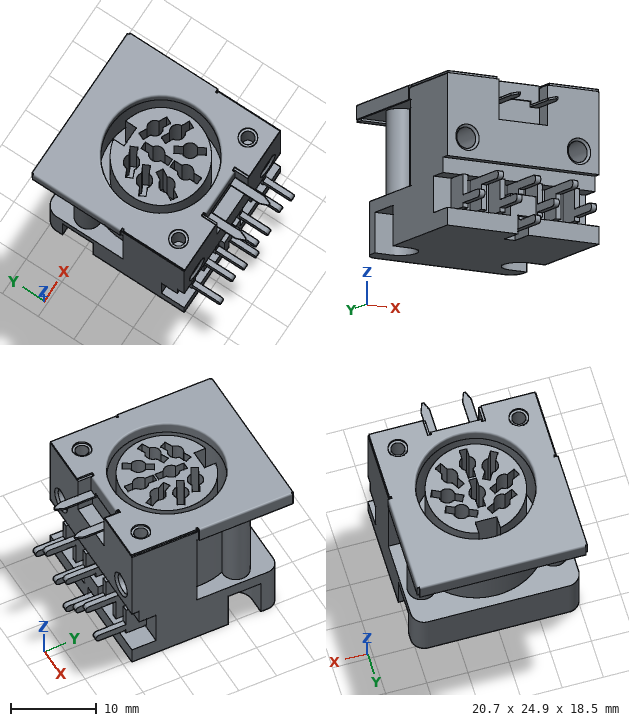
import cadquery as cq
import math


SHEET = 0.25
TOP_Z = 18.5
SHIELD_WIDTH = 20.7
SHIELD_BACK_Y = 21.4
FLANGE_FRONT_Y = 8.86
SIDE_FLANGE_BOTTOM_Z = 16.73
BACK_LIP_LENGTH = 1.07
RELIEF_SIZE = 0.22
TUBE_LENGTH = 1.4
PLATE_HOLE_RADIUS = 1.15
TONGUE_HALF_WIDTH = 3.06
TONGUE_BOTTOM_Z = 16.5
TONGUE_SLOT_HALF_WIDTH = 3.5
TONGUE_SLOT_DEPTH = 2.02
PRONG_WIDTH = 1.07
PRONG_BOTTOM_Z = 15.84
PRONG_TAPER_Y = -2.45
PRONG_TIP_WIDTH = 0.25

HOUSING_HALF_WIDTH = 10.2
FRONT_BLOCK_DEPTH = 8.6
TOP_EDGE_CHAMFER = 0.1
CENTRE_Y = 10.0
DRUM_RADIUS = 8.35
BASE_HEIGHT = 6.4
BASE_BACK_Y = 19.52
BASE_CORNER_RADIUS = 1.65
POST_X = 8.02
POST_Y = 14.87
POST_RADIUS = 1.7
SCREW_SLOT_RADIUS = 2.15
SCREW_SLOT_HEIGHT = 4.85

WELL_RADIUS = 7.27
WELL_DEPTH = 9.95
INSERT_RADIUS = 5.93
INSERT_RECESS = 0.75
KEY_WIDTH = 2.61
KEY_FLAT_Y = 4.28
CONTACT_DEPTH = 8.96
CONTACT_RADIUS = 0.95
CONTACT_SLOT_LENGTH = 3.78
CONTACT_SLOT_WIDTH = 0.9
CONTACT_CIRCLE_RADIUS = 3.49
CENTRE_CONTACT_OFFSET = 0.57
SIDE_CONTACT_ANGLES = [(45, -25), (0, -26), (-45, -60)]

TONGUE_RECESS_HALF_WIDTH = 3.24
TONGUE_RECESS_DEPTH = 1.9
TONGUE_RECESS_BOTTOM_Z = 13.42
FRONT_HOLE_X = 7.5
FRONT_HOLE_Z = 10.8
FRONT_HOLE_RADIUS = 1.27
FRONT_HOLE_CHAMFER = 0.3
FRONT_HOLE_DEPTH = 4.98
TOP_HOLE_X = 7.35
TOP_HOLE_Y = 2.7
TOP_HOLE_RADIUS = 0.82
TOP_HOLE_DEPTH = 3.98
STEP_TOP_Z = 8.32
STEP_DEPTH = 0.97
POCKET_TOP_Z = 6.47
POCKET_FLOOR_Z = 2.12
POCKET_DEPTH = 3.19
BLOCK_HALF_WIDTH = 1.7
BLOCK_TOP_Z = 4.73
LOW_PIN_SLOT_HALF_WIDTH = 0.72
LOW_PIN_SLOT_TOP_Z = 2.25

PIN_ROW_LENGTH = 15.01
PIN_ROW_STEPS = 6
PIN_WIDTH = 0.7
PIN_THICKNESS = 0.97
PIN_TIP_Y = -3.5
BLADE_FRONT_Y = 0.47
BLADE_BOTTOM_Z = 2.51
CENTRE_BLADE_BOTTOM_Z = 4.93
MIDDLE_ARM_BOTTOM_Z = 3.01
LOW_ARM_BOTTOM_Z = 0.77

HOUSING_TOP_Z = TOP_Z - SHEET
INSERT_TOP_Z = TOP_Z - INSERT_RECESS
FLANGE_INNER_X = SHIELD_WIDTH / 2 - SHEET
FLANGE_INNER_Y = SHIELD_BACK_Y - SHEET
PIN_PITCH = PIN_ROW_LENGTH / PIN_ROW_STEPS


def block(x0, x1, y0, y1, z0, z1):
    """Axis-aligned box given by its limits."""
    return cq.Workplane("XY").box(x1 - x0, y1 - y0, z1 - z0, centered=False).translate((x0, y0, z0))


def centred_block(half_width, y0, y1, z0, z1):
    """Box that is symmetric about the centre plane."""
    return block(-half_width, half_width, y0, y1, z0, z1)


def upright_cylinder(x, y, radius, z0, z1):
    return cq.Workplane("XY", origin=(x, y, z0)).circle(radius).extrude(z1 - z0)


def bent_flange(plane, inner, outward, bottom_z, length):
    """Flange bent down from the plate, with a rounded outer bend.

    The profile lies in the given plane, from `inner` for one sheet thickness in the
    `outward` direction (+1 or -1), and is extruded to both sides by half the length.
    """
    outer = inner + outward * SHEET
    bend = SHEET * math.sqrt(0.5)
    return (
        cq.Workplane(plane)
        .moveTo(inner, bottom_z)
        .lineTo(outer, bottom_z)
        .lineTo(outer, HOUSING_TOP_Z)
        .threePointArc((inner + outward * bend, HOUSING_TOP_Z + bend), (inner, TOP_Z))
        .close()
        .extrude(length / 2, both=True)
    )



def make_prong(side):
    """Flat solder prong with a tapered tip, on the given side (+1 or -1)."""
    outer_x = TONGUE_HALF_WIDTH
    inner_x = outer_x - PRONG_WIDTH
    middle_x = outer_x - PRONG_WIDTH / 2
    outline = [
        (inner_x, TONGUE_RECESS_DEPTH),
        (inner_x, PRONG_TAPER_Y),
        (middle_x - PRONG_TIP_WIDTH / 2, PIN_TIP_Y),
        (middle_x + PRONG_TIP_WIDTH / 2, PIN_TIP_Y),
        (outer_x, PRONG_TAPER_Y),
        (outer_x, TONGUE_RECESS_DEPTH),
    ]
    points = [(side * x, y) for x, y in outline]
    return cq.Workplane("XY", origin=(0, 0, PRONG_BOTTOM_Z)).polyline(points).close().extrude(SHEET)


def make_tongue():
    """Front tongue bent down into the housing recess, ending in two prongs."""
    tongue = bent_flange("YZ", TONGUE_RECESS_DEPTH, -1, PRONG_BOTTOM_Z, 2 * TONGUE_HALF_WIDTH)
    gap = centred_block(TONGUE_HALF_WIDTH - PRONG_WIDTH, 0, TONGUE_RECESS_DEPTH, 0, TONGUE_BOTTOM_Z)
    tongue = tongue.cut(gap)
    for side in (-1, 1):
        tongue = tongue.union(make_prong(side))
    return tongue


def make_shield():
    plate = centred_block(FLANGE_INNER_X, 0, FLANGE_INNER_Y, HOUSING_TOP_Z, TOP_Z)

    plate = plate.cut(centred_block(TONGUE_SLOT_HALF_WIDTH, 0, TONGUE_RECESS_DEPTH, HOUSING_TOP_Z, TOP_Z))
    for side in (-1, 1):
        relief_width = TONGUE_SLOT_HALF_WIDTH - TONGUE_HALF_WIDTH
        relief_x = side * (TONGUE_SLOT_HALF_WIDTH + TONGUE_HALF_WIDTH) / 2
        plate = plate.cut(
            centred_block(relief_width / 2, 0, TONGUE_SLOT_DEPTH, HOUSING_TOP_Z, TOP_Z)
            .translate((relief_x, 0, 0))
        )
        plate = plate.cut(
            centred_block(RELIEF_SIZE, FLANGE_FRONT_Y - RELIEF_SIZE, FLANGE_FRONT_Y, HOUSING_TOP_Z, TOP_Z)
            .translate((side * FLANGE_INNER_X, 0, 0))
        )
        plate = plate.cut(
            upright_cylinder(side * TOP_HOLE_X, TOP_HOLE_Y, PLATE_HOLE_RADIUS, HOUSING_TOP_Z, TOP_Z)
        )

    flange_length = FLANGE_INNER_Y - FLANGE_FRONT_Y
    flange_middle_y = (FLANGE_INNER_Y + FLANGE_FRONT_Y) / 2
    shield = plate
    for side in (-1, 1):
        flange = bent_flange("XZ", side * FLANGE_INNER_X, side, SIDE_FLANGE_BOTTOM_Z, flange_length)
        shield = shield.union(flange.translate((0, flange_middle_y, 0)))
    lip_bottom_z = SIDE_FLANGE_BOTTOM_Z - SHEET
    shield = shield.union(bent_flange("YZ", FLANGE_INNER_Y, 1, lip_bottom_z, 2 * FLANGE_INNER_X))
    shield = shield.union(
        centred_block(
            FLANGE_INNER_X, SHIELD_BACK_Y - BACK_LIP_LENGTH, SHIELD_BACK_Y, lip_bottom_z, SIDE_FLANGE_BOTTOM_Z
        )
    )

    shield = shield.union(upright_cylinder(0, CENTRE_Y, WELL_RADIUS, TOP_Z - TUBE_LENGTH, TOP_Z))
    shield = shield.cut(upright_cylinder(0, CENTRE_Y, WELL_RADIUS - SHEET, TOP_Z - TUBE_LENGTH, TOP_Z))
    entry_edge = cq.selectors.BoxSelector(
        (-WELL_RADIUS, CENTRE_Y - WELL_RADIUS, TOP_Z - SHEET / 2),
        (WELL_RADIUS, CENTRE_Y + WELL_RADIUS, TOP_Z + SHEET / 2),
        boundingbox=True,
    )
    shield = shield.edges("%CIRCLE").edges(entry_edge).fillet(SHEET)
    return shield.union(make_tongue())



def make_housing_body():
    """Outer form: front block, drum around the socket, screw posts, base and top plate."""
    body = centred_block(HOUSING_HALF_WIDTH, 0, FRONT_BLOCK_DEPTH, 0, HOUSING_TOP_Z)
    body = body.union(centred_block(DRUM_RADIUS, 0, CENTRE_Y, 0, HOUSING_TOP_Z))
    body = body.union(upright_cylinder(0, CENTRE_Y, DRUM_RADIUS, 0, HOUSING_TOP_Z))
    base = centred_block(HOUSING_HALF_WIDTH, 0, BASE_BACK_Y, 0, BASE_HEIGHT)
    body = body.union(base.edges("|Z and >Y").fillet(BASE_CORNER_RADIUS))
    top_plate = centred_block(FLANGE_INNER_X, 0, FLANGE_INNER_Y, SIDE_FLANGE_BOTTOM_Z, HOUSING_TOP_Z)
    body = body.union(top_plate)
    wide_plate = centred_block(HOUSING_HALF_WIDTH, 0, FLANGE_FRONT_Y, SIDE_FLANGE_BOTTOM_Z, HOUSING_TOP_Z)
    body = body.union(wide_plate)
    for side in (-1, 1):
        body = body.union(upright_cylinder(side * POST_X, POST_Y, POST_RADIUS, 0, SIDE_FLANGE_BOTTOM_Z))
    return body


def chamfer_top_edges(body):
    """Small chamfers along the two top side edges, in front of the side flanges."""
    for side in (-1, 1):
        edge_x = side * HOUSING_HALF_WIDTH
        chamfer = (
            cq.Workplane("XZ")
            .moveTo(edge_x, HOUSING_TOP_Z)
            .lineTo(edge_x - side * TOP_EDGE_CHAMFER, HOUSING_TOP_Z)
            .lineTo(edge_x, HOUSING_TOP_Z - TOP_EDGE_CHAMFER)
            .close()
            .extrude(-FLANGE_FRONT_Y)
        )
        body = body.cut(chamfer)
    return body


def cut_screw_slots(body):
    """Round-ended slots under the posts, open to the sides and to the bottom."""
    for side in (-1, 1):
        body = body.cut(upright_cylinder(side * POST_X, POST_Y, SCREW_SLOT_RADIUS, 0, SCREW_SLOT_HEIGHT))
        mouth = centred_block(
            SCREW_SLOT_RADIUS, POST_Y - SCREW_SLOT_RADIUS, POST_Y + SCREW_SLOT_RADIUS, 0, SCREW_SLOT_HEIGHT
        )
        body = body.cut(mouth.translate((side * (POST_X + SCREW_SLOT_RADIUS), 0, 0)))
    return body


def contact_hole(x, y, slot_angle):
    """Round contact hole crossed by a long slot; x and y are measured from the socket centre."""
    hole = (
        cq.Workplane("XY")
        .rect(CONTACT_SLOT_LENGTH, CONTACT_SLOT_WIDTH)
        .extrude(CONTACT_DEPTH)
        .union(cq.Workplane("XY").circle(CONTACT_RADIUS).extrude(CONTACT_DEPTH))
    )
    hole = hole.rotate((0, 0, 0), (0, 0, 1), slot_angle)
    return hole.translate((x, CENTRE_Y + y, INSERT_TOP_Z - CONTACT_DEPTH))


def cut_socket(body):
    """Round well around a keyed insert that carries the contact holes."""
    well_bottom_z = TOP_Z - WELL_DEPTH
    well = upright_cylinder(0, CENTRE_Y, WELL_RADIUS, well_bottom_z, TOP_Z)
    insert = upright_cylinder(0, CENTRE_Y, INSERT_RADIUS, well_bottom_z, INSERT_TOP_Z)
    key = centred_block(
        KEY_WIDTH / 2, CENTRE_Y + KEY_FLAT_Y, CENTRE_Y + INSERT_RADIUS, well_bottom_z, INSERT_TOP_Z
    )
    body = body.cut(well.cut(insert.cut(key)))

    body = body.cut(contact_hole(0, CENTRE_CONTACT_OFFSET, 90))
    body = body.cut(contact_hole(0, -CONTACT_CIRCLE_RADIUS, 90))
    for position, slot_angle in SIDE_CONTACT_ANGLES:
        x = CONTACT_CIRCLE_RADIUS * math.cos(math.radians(position))
        y = CONTACT_CIRCLE_RADIUS * math.sin(math.radians(position))
        for side in (-1, 1):
            body = body.cut(contact_hole(side * x, y, side * slot_angle))
    return body


def cut_screw_holes(body):
    """Chamfered blind holes in the front face and plain blind holes in the top face."""
    for side in (-1, 1):
        hole = (
            cq.Workplane("XZ", origin=(side * FRONT_HOLE_X, 0, FRONT_HOLE_Z))
            .circle(FRONT_HOLE_RADIUS + FRONT_HOLE_CHAMFER)
            .extrude(-FRONT_HOLE_CHAMFER, taper=45)
        )
        hole = hole.union(
            cq.Workplane("XZ", origin=(side * FRONT_HOLE_X, 0, FRONT_HOLE_Z))
            .circle(FRONT_HOLE_RADIUS)
            .extrude(-FRONT_HOLE_DEPTH)
        )
        body = body.cut(hole)
        top_hole_bottom_z = HOUSING_TOP_Z - TOP_HOLE_DEPTH
        body = body.cut(
            upright_cylinder(side * TOP_HOLE_X, TOP_HOLE_Y, TOP_HOLE_RADIUS, top_hole_bottom_z, HOUSING_TOP_Z)
        )
    return body


def cut_front_recesses(body):
    """Tongue recess, front step, and the pin pocket with its middle block and lower slot."""
    body = body.cut(
        centred_block(TONGUE_RECESS_HALF_WIDTH, 0, TONGUE_RECESS_DEPTH, TONGUE_RECESS_BOTTOM_Z, TOP_Z)
    )
    body = body.cut(centred_block(HOUSING_HALF_WIDTH, 0, STEP_DEPTH, POCKET_TOP_Z, STEP_TOP_Z))
    pocket = centred_block(HOUSING_HALF_WIDTH, 0, POCKET_DEPTH, POCKET_FLOOR_Z, POCKET_TOP_Z)
    middle_block = centred_block(BLOCK_HALF_WIDTH, 0, POCKET_DEPTH, POCKET_FLOOR_Z, BLOCK_TOP_Z)
    body = body.cut(pocket.cut(middle_block))
    return body.cut(centred_block(LOW_PIN_SLOT_HALF_WIDTH, 0, POCKET_DEPTH, 0, LOW_PIN_SLOT_TOP_Z))


def make_housing():
    body = make_housing_body()
    body = chamfer_top_edges(body)
    body = cut_screw_slots(body)
    body = cut_socket(body)
    body = cut_screw_holes(body)
    return cut_front_recesses(body)



def arm_outline(arm_bottom_z):
    """Open side outline of an arm with a round tip, from its bottom rear end to the tip's upper end."""
    tip_radius = PIN_THICKNESS / 2
    tip_start_y = PIN_TIP_Y + tip_radius
    return (
        cq.Workplane("YZ")
        .moveTo(POCKET_DEPTH, arm_bottom_z)
        .lineTo(tip_start_y, arm_bottom_z)
        .threePointArc((PIN_TIP_Y, arm_bottom_z + tip_radius), (tip_start_y, arm_bottom_z + PIN_THICKNESS))
    )


def make_pocket_pin(place, arm_bottom_z, blade_bottom_z):
    """Upright blade from the ceiling of the pocket, with a straight arm toward the front."""
    blade = centred_block(PIN_WIDTH / 2, BLADE_FRONT_Y, POCKET_DEPTH, blade_bottom_z, POCKET_TOP_Z)
    arm = (
        arm_outline(arm_bottom_z)
        .lineTo(POCKET_DEPTH, arm_bottom_z + PIN_THICKNESS)
        .close()
        .extrude(PIN_WIDTH / 2, both=True)
    )
    return blade.union(arm).translate((place * PIN_PITCH, 0, 0))


def make_low_pin():
    """Pin in the lower slot, with a concave round bend from its arm up to the top of the slot."""
    arm_top_z = LOW_ARM_BOTTOM_Z + PIN_THICKNESS
    bend_radius = LOW_PIN_SLOT_TOP_Z - arm_top_z
    bend_start_y = BLADE_FRONT_Y - bend_radius
    bend_middle = (
        bend_start_y + bend_radius * math.sin(math.radians(45)),
        LOW_PIN_SLOT_TOP_Z - bend_radius * math.cos(math.radians(45)),
    )
    return (
        arm_outline(LOW_ARM_BOTTOM_Z)
        .lineTo(bend_start_y, arm_top_z)
        .threePointArc(bend_middle, (BLADE_FRONT_Y, LOW_PIN_SLOT_TOP_Z))
        .lineTo(POCKET_DEPTH, LOW_PIN_SLOT_TOP_Z)
        .close()
        .extrude(PIN_WIDTH / 2, both=True)
    )


HIGH_ARM_BOTTOM_Z = POCKET_TOP_Z - PIN_THICKNESS
POCKET_PIN_LAYOUT = [
    (-3, MIDDLE_ARM_BOTTOM_Z, BLADE_BOTTOM_Z),
    (-2, HIGH_ARM_BOTTOM_Z, BLADE_BOTTOM_Z),
    (-1, MIDDLE_ARM_BOTTOM_Z, BLADE_BOTTOM_Z),
    (0, HIGH_ARM_BOTTOM_Z, CENTRE_BLADE_BOTTOM_Z),
    (1, MIDDLE_ARM_BOTTOM_Z, BLADE_BOTTOM_Z),
    (2, HIGH_ARM_BOTTOM_Z, BLADE_BOTTOM_Z),
    (3, MIDDLE_ARM_BOTTOM_Z, BLADE_BOTTOM_Z),
]

housing = make_housing()
shield = make_shield()
pocket_pins = [make_pocket_pin(*layout).solids().val() for layout in POCKET_PIN_LAYOUT]
low_pin = make_low_pin()

result = cq.Compound.makeCompound(
    [housing.solids().val(), shield.solids().val(), *pocket_pins, low_pin.solids().val()]
)